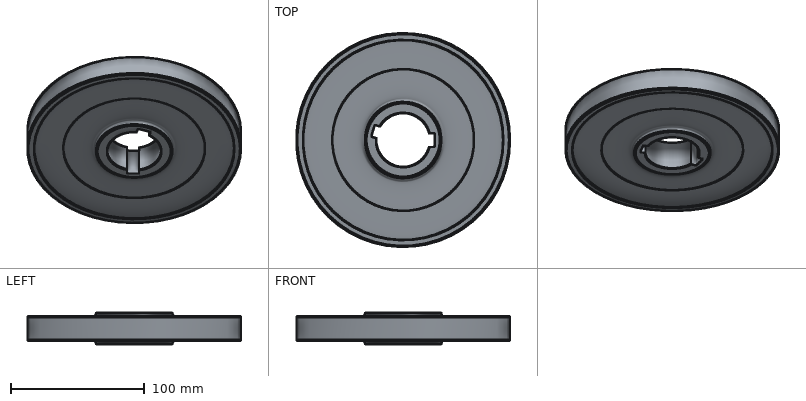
import cadquery as cq

rim_radius = 80.0
rim_bore_radius = 149.1 / 2
rim_half_width = 9.36
rim_outer_chamfer = 1.0
rim_bore_chamfer = 0.5

web_recess = 0.6
web_half_width = rim_half_width - web_recess
web_step_radius = 53.1
web_step_depth = 0.24
web_step_bevel = 0.3
hub_half_width = 12.0
hub_face_radius = 27.4
hub_edge_radius = 28.6
hub_fillet_radius = 3.0

bore_radius = 20.0
bore_chamfer = 0.5
keyway_floor_distance = 23.5
keyway_corner_radius = 0.6
main_keyway_width = 10.0
main_keyway_angle = 0
side_keyway_width = 9.0
side_keyway_angle = 163


def make_rim():
    """Plain ring with chamfered outer and bore edges."""
    width = 2 * rim_half_width
    ring = cq.Workplane("XY", origin=(0, 0, -rim_half_width)).circle(rim_radius).extrude(width)
    ring = ring.edges("%CIRCLE").chamfer(rim_outer_chamfer)
    ring = ring.faces(">Z").workplane().circle(rim_bore_radius).cutThruAll()
    bore_edges = cq.selectors.RadiusNthSelector(0)
    return ring.edges("%CIRCLE").edges(bore_edges).chamfer(rim_bore_chamfer)


def make_center_half():
    """Upper half of the wheel center, revolved about Z from its radial section."""
    inner_web_height = web_half_width - web_step_depth
    fillet_top_height = inner_web_height + hub_fillet_radius
    return (
        cq.Workplane("XZ")
        .moveTo(bore_radius, 0)
        .lineTo(bore_radius, hub_half_width - bore_chamfer)
        .lineTo(bore_radius + bore_chamfer, hub_half_width)
        .lineTo(hub_face_radius, hub_half_width)
        .lineTo(hub_edge_radius, fillet_top_height)
        .radiusArc((hub_edge_radius + hub_fillet_radius, inner_web_height), -hub_fillet_radius)
        .lineTo(web_step_radius - web_step_bevel, inner_web_height)
        .lineTo(web_step_radius, web_half_width)
        .lineTo(rim_bore_radius, web_half_width)
        .lineTo(rim_bore_radius, 0)
        .close()
        .revolve(360, (0, 0, 0), (0, 1, 0))
    )


def make_keyway(width, angle):
    """Cutter from the wheel axis out to the keyway floor, turned to its angle."""
    return (
        cq.Workplane("XY")
        .rect(keyway_floor_distance, width)
        .extrude(2 * hub_half_width)
        .edges("|Z and >X")
        .fillet(keyway_corner_radius)
        .translate((keyway_floor_distance / 2, 0, -hub_half_width))
        .rotate((0, 0, 0), (0, 0, 1), angle)
    )


def make_center():
    """Web and hub, symmetric about the mid-plane, with both keyways cut through."""
    upper_half = make_center_half()
    center = upper_half.union(upper_half.mirror("XY"))
    center = center.cut(make_keyway(main_keyway_width, main_keyway_angle))
    return center.cut(make_keyway(side_keyway_width, side_keyway_angle))


rim = make_rim()
wheel_center = make_center()

result = cq.Compound.makeCompound([rim.solids().val(), wheel_center.solids().val()])